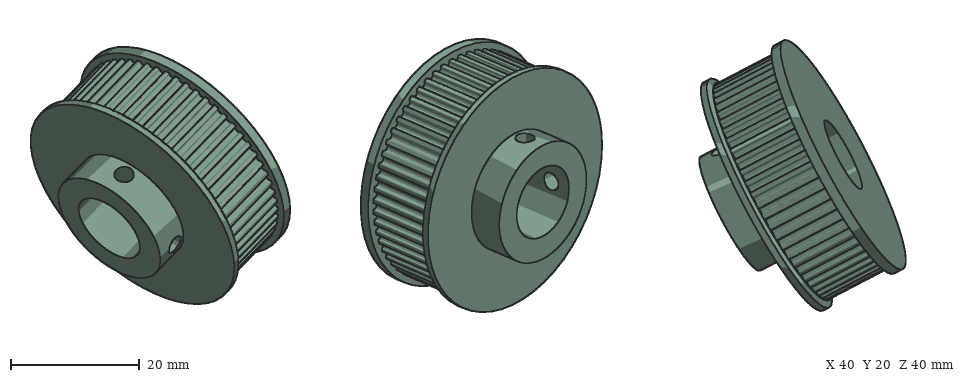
import cadquery as cq
import math


overall_length = 20.0
flange_thickness = 1.6
belt_width = 10.95
rim_length = belt_width + 2 * flange_thickness
track_back = -flange_thickness
track_front = track_back - belt_width

flange_diameter = 40.0
hub_diameter = 20.0
bore_diameter = 12.0

bevel_length = 0.5
bevel_depth = 1.0

tooth_count = 60
belt_pitch = 2.0
pitch_line_offset = 0.25
tip_radius = tooth_count * belt_pitch / (2 * math.pi) - pitch_line_offset
groove_floor_radius = 0.55
tip_rounding = 0.15

rounding_centre_radius = tip_radius - tip_rounding
mouth_angle = math.asin((groove_floor_radius + tip_rounding) / rounding_centre_radius)
floor_centre_radius = rounding_centre_radius * math.cos(mouth_angle)
groove_bottom_radius = floor_centre_radius - groove_floor_radius

screw_diameter = 3.0
screw_inset = 3.7
screw_directions = [(1, 0, 0), (0, 0, 1)]


def polar_point(radius, angle):
    """Point at a radius and an angle in radians."""
    return (radius * math.cos(angle), radius * math.sin(angle))


def offset_point(centre, distance, angle):
    """Point at a distance from a centre, in a direction in radians."""
    dx, dy = polar_point(distance, angle)
    return (centre[0] + dx, centre[1] + dy)


def rounding_middle(groove_angle, side):
    """Midpoint of the tip rounding on one side (-1 or 1) of a groove."""
    centre = polar_point(rounding_centre_radius, groove_angle + side * mouth_angle)
    facing_groove = groove_angle - side * math.pi / 2
    facing_outward = groove_angle + side * mouth_angle
    return offset_point(centre, tip_rounding, (facing_groove + facing_outward) / 2)


def make_flanged_hub():
    """Revolve the two flanges and the hub, joined by a core inside the belt track."""
    flange_radius = flange_diameter / 2
    hub_radius = hub_diameter / 2
    profile = (
        cq.Workplane("XY")
        .lineTo(flange_radius, 0)
        .lineTo(flange_radius, track_back)
        .lineTo(hub_radius, track_back)
        .lineTo(hub_radius, track_front)
        .lineTo(flange_radius - bevel_depth, track_front)
        .lineTo(flange_radius, track_front - bevel_length)
        .lineTo(flange_radius, -rim_length)
        .lineTo(hub_radius, -rim_length)
        .lineTo(hub_radius, -overall_length)
        .lineTo(0, -overall_length)
        .close()
    )
    return profile.revolve(360, (0, 0, 0), (0, 1, 0))


def make_toothed_track():
    """Extrude the belt track: half-round grooves running tangent into rounded tooth tips."""
    step = 2 * math.pi / tooth_count
    outline = cq.Workplane("XZ", origin=(0, track_back, 0))
    outline = outline.moveTo(*polar_point(tip_radius, -mouth_angle))
    for groove in range(tooth_count):
        angle = groove * step
        floor_centre = polar_point(floor_centre_radius, angle)
        first_wall = offset_point(floor_centre, groove_floor_radius, angle - math.pi / 2)
        second_wall = offset_point(floor_centre, groove_floor_radius, angle + math.pi / 2)
        groove_bottom = polar_point(groove_bottom_radius, angle)
        tooth_start = polar_point(tip_radius, angle + mouth_angle)
        tooth_middle = polar_point(tip_radius, angle + step / 2)
        tooth_end = polar_point(tip_radius, angle + step - mouth_angle)
        outline = (
            outline
            .threePointArc(rounding_middle(angle, -1), first_wall)
            .threePointArc(groove_bottom, second_wall)
            .threePointArc(rounding_middle(angle, 1), tooth_start)
            .threePointArc(tooth_middle, tooth_end)
        )
    return outline.close().extrude(belt_width)


def make_screw_hole(direction):
    """Cylinder from the axis outward through one side of the hub wall."""
    start = cq.Vector(0, screw_inset - overall_length, 0)
    hole = cq.Solid.makeCylinder(screw_diameter / 2, hub_diameter, start, cq.Vector(*direction))
    return cq.Workplane(hole)


result = make_flanged_hub().union(make_toothed_track())

bore = cq.Workplane("XZ").circle(bore_diameter / 2).extrude(overall_length)
result = result.cut(bore)

for direction in screw_directions:
    result = result.cut(make_screw_hole(direction))